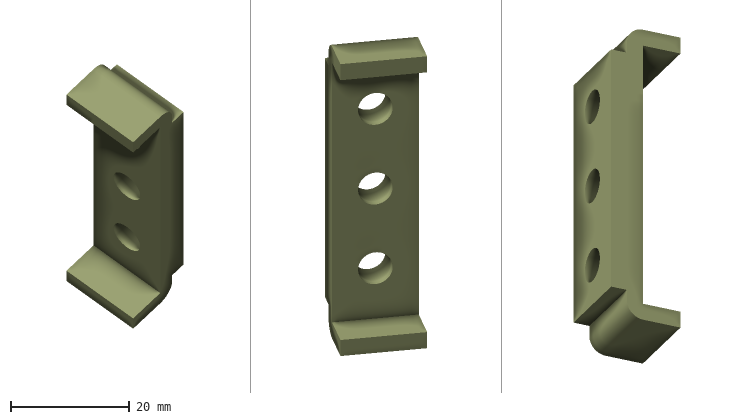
import cadquery as cq

height = 55.0
width = 15.0
depth = 13.0
thickness = 3.0
bend_radius = 3.0
pad_thickness = 2.95
pad_height = 45.0
hole_diameter = 6.0
hole_spacing = 15.0

web_back = depth - pad_thickness
web_front = web_back - thickness


def make_channel():
    """Web with a flange at each end, rounded at the outer corners."""
    block = cq.Workplane("XY").box(width, web_back, height, centered=(True, False, True))
    block = block.edges("|X and >Y").fillet(bend_radius)
    opening = cq.Workplane("XY").box(
        width, web_front, height - 2 * thickness, centered=(True, False, True)
    )
    return block.cut(opening)


def make_pad():
    """Flat pad on the back of the web."""
    pad = cq.Workplane("XY").box(
        width, pad_thickness, pad_height, centered=(True, False, True)
    )
    return pad.translate((0, web_back, 0))


def make_holes():
    """Row of three round holes along Y, centred on the web."""
    centres = [(0, step * hole_spacing) for step in (-1, 0, 1)]
    return (
        cq.Workplane("XZ")
        .pushPoints(centres)
        .circle(hole_diameter / 2)
        .extrude(-depth)
    )


result = make_channel().union(make_pad()).cut(make_holes())